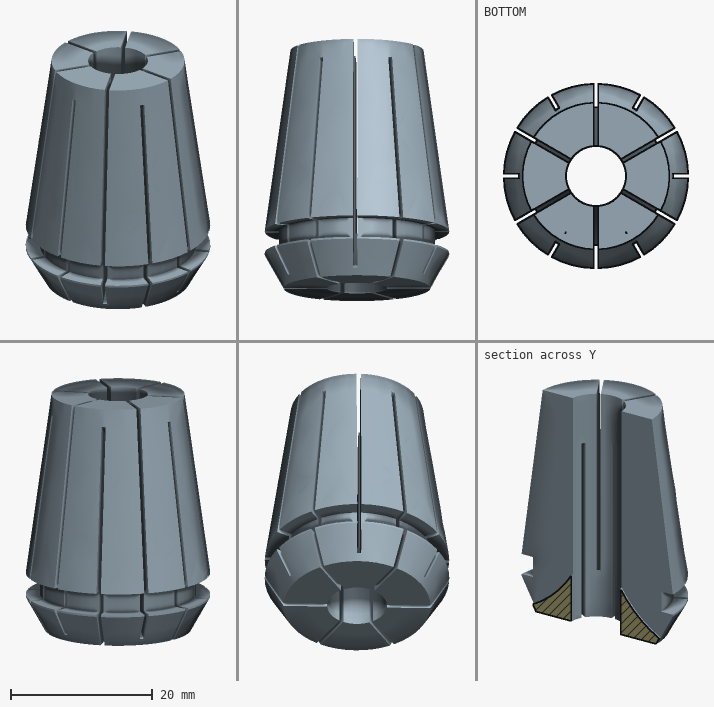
import cadquery as cq

length = 34.0
outer_diameter = 26.0
outer_radius = outer_diameter / 2
bore_radius = 4.2

nose_bottom_radius = 10.35
nose_cone_height = 4.75
rim_height = 0.27
rim_top = nose_cone_height + rim_height

groove_radius = 11.0
groove_height = 3.05
taper_bottom = rim_top + groove_height
taper_top_radius = 9.4

slot_width = 0.6
slots_per_end = 6
slot_spacing = 360 / slots_per_end
saw_radius = 17.35
run_out = 0.35
slot_reach = outer_radius + run_out

top_slot_outer_floor = 1.02
top_slot_bore_floor = 7.07
bottom_slot_outer_floor = 2.45
bottom_slot_bore_floor = 7.38


def nose_radius_at(height):
    """Radius of the nose cone at a height above the bottom face."""
    return nose_bottom_radius + (outer_radius - nose_bottom_radius) * height / nose_cone_height


def taper_radius_at(height):
    """Radius of the long taper at a height above the bottom face."""
    fraction = (length - height) / (length - taper_bottom)
    return taper_top_radius + (outer_radius - taper_top_radius) * fraction


def collet_body():
    """Half section revolved about Z, with the through bore left open."""
    section = [
        (bore_radius, 0),
        (nose_bottom_radius, 0),
        (outer_radius, nose_cone_height),
        (outer_radius, rim_top),
        (groove_radius, rim_top),
        (groove_radius, taper_bottom),
        (outer_radius, taper_bottom),
        (taper_top_radius, length),
        (bore_radius, length),
    ]
    return cq.Workplane("XZ").polyline(section).close().revolve(360, (0, 0), (0, 1))


def slot_cutter(open_end, bore_floor, outer_floor, floor_radius, arc_radius):
    """Radial slot along +X, from the open end face to a saw-cut curved floor.

    The floors are Z heights, and the sign of arc_radius sets which way the floor arc bends.
    """
    return (
        cq.Workplane("XZ")
        .moveTo(0, open_end)
        .lineTo(0, bore_floor)
        .lineTo(bore_radius, bore_floor)
        .radiusArc((floor_radius, outer_floor), arc_radius)
        .lineTo(slot_reach, outer_floor)
        .lineTo(slot_reach, open_end)
        .close()
        .extrude(slot_width / 2, both=True)
    )


def cut_around(body, cutter, first_angle):
    """Cut one slot and its equally spaced copies about Z."""
    for index in range(slots_per_end):
        angle = first_angle + index * slot_spacing
        body = body.cut(cutter.rotate((0, 0, 0), (0, 0, 1), angle))
    return body


top_slot = slot_cutter(
    open_end=length,
    bore_floor=top_slot_bore_floor,
    outer_floor=top_slot_outer_floor,
    floor_radius=nose_radius_at(top_slot_outer_floor),
    arc_radius=-saw_radius,
)

bottom_slot_outer_height = length - bottom_slot_outer_floor
bottom_slot = slot_cutter(
    open_end=0,
    bore_floor=length - bottom_slot_bore_floor,
    outer_floor=bottom_slot_outer_height,
    floor_radius=taper_radius_at(bottom_slot_outer_height),
    arc_radius=saw_radius,
)

result = collet_body()
result = cut_around(result, top_slot, 0)
result = cut_around(result, bottom_slot, slot_spacing / 2)
result = cq.Workplane(result.solids().val())